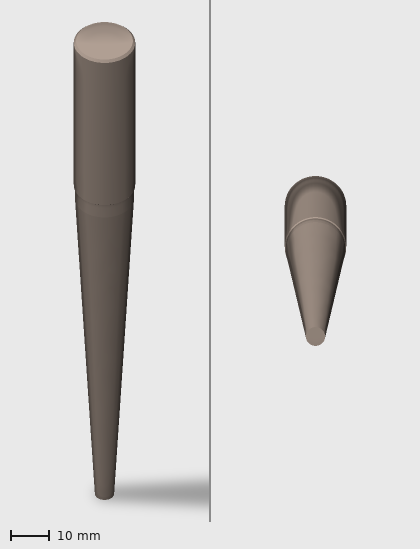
import cadquery as cq

total_length = 155.6
shank_diameter = 15.9

shank_length = 49.8
top_chamfer = 0.6

collar_diameter = 15.2
collar_length = 4.2
tip_diameter = 5.0

bottom_chamfer = (shank_diameter - collar_diameter) / 2
taper_length = total_length - shank_length - collar_length


def make_shank():
    """Cylinder standing on top of the collar, chamfered at both ends."""
    return (
        cq.Workplane("XY")
        .workplane(offset=taper_length + collar_length)
        .circle(shank_diameter / 2)
        .extrude(shank_length)
        .faces(">Z")
        .chamfer(top_chamfer)
        .faces("<Z")
        .chamfer(bottom_chamfer)
    )


def make_tapered_body():
    """Cone that widens upward from the tip and ends in a straight collar."""
    return (
        cq.Workplane("XZ")
        .lineTo(tip_diameter / 2, 0)
        .lineTo(collar_diameter / 2, taper_length)
        .lineTo(collar_diameter / 2, taper_length + collar_length)
        .lineTo(0, taper_length + collar_length)
        .close()
        .revolve(360, (0, 0, 0), (0, 1, 0))
    )


shank = make_shank()
tapered_body = make_tapered_body()

result = cq.Compound.makeCompound([shank.val(), tapered_body.val()])